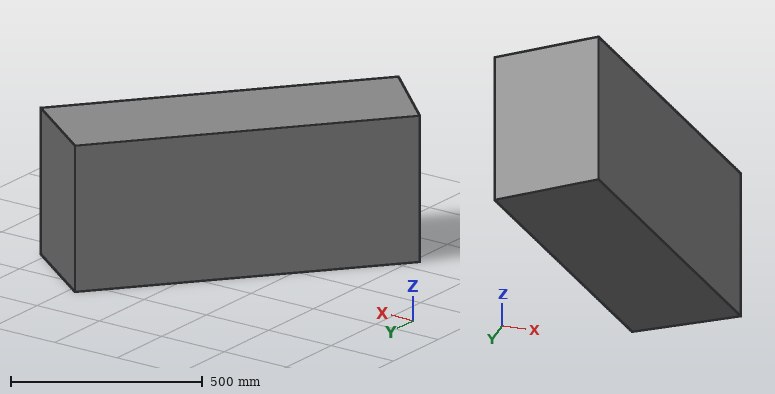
import cadquery as cq

width = 839.5
depth = 917.5
height = 406.5

front_corner_x = 218.0
back_corner_x = 599.0
left_corner_y = 209.0
right_corner_y = 736.0

footprint = [
    (front_corner_x, 0),
    (width, right_corner_y),
    (back_corner_x, depth),
    (0, left_corner_y),
]

result = cq.Workplane("XY").polyline(footprint).close().extrude(height)